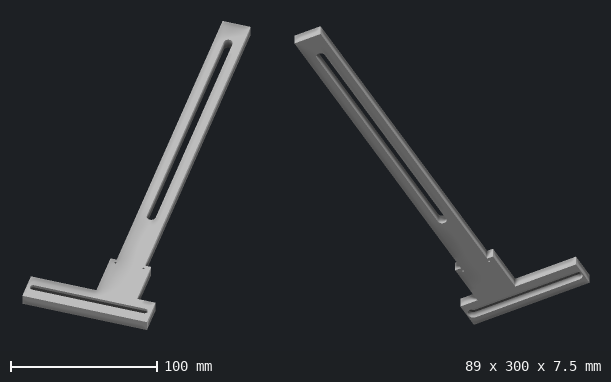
import cadquery as cq

thickness = 7.5
total_length = 300.0
bar_length = 89.0
bar_width = 20.0

stem_x = 16.8
neck_width = 29.0
shoulder_y = 53.0
arm_width = 20.0

bar_slot_length = 84.0
bar_slot_width = 4.5
bar_recess_width = 8.0
bar_slot_lip = 2.0
arm_slot_length = 186.0
arm_slot_width = 6.3
arm_slot_end_margin = 16.5

pin_hole_diameter = 1.5
pin_hole_setback = 3.0


def plate(width, length, center_x):
    """Rectangular plate starting at the front edge and running along +Y."""
    return (
        cq.Workplane("XY")
        .center(center_x, length / 2)
        .rect(width, length)
        .extrude(thickness)
    )


def slot_cutter(center_x, center_y, length, width, angle, height=thickness):
    """Round-ended slot rising from the underside; the angle is measured from +X."""
    return (
        cq.Workplane("XY")
        .center(center_x, center_y)
        .slot2D(length, width, angle)
        .extrude(height)
    )


crossbar = plate(bar_length, bar_width, 0)
neck = plate(neck_width, shoulder_y, stem_x)
arm = plate(arm_width, total_length, stem_x)
body = crossbar.union(neck).union(arm)

bar_slot = slot_cutter(0, bar_width / 2, bar_slot_length, bar_slot_width, 0)

bar_recess_length = bar_slot_length + bar_recess_width - bar_slot_width
bar_recess = slot_cutter(
    0, bar_width / 2, bar_recess_length, bar_recess_width, 0, thickness - bar_slot_lip
)

arm_slot_y = total_length - arm_slot_end_margin - arm_slot_length / 2
arm_slot = slot_cutter(stem_x, arm_slot_y, arm_slot_length, arm_slot_width, 90)

pin_holes = (
    cq.Workplane("XY")
    .pushPoints([(stem_x + side * arm_width / 2, shoulder_y - pin_hole_setback) for side in (-1, 1)])
    .circle(pin_hole_diameter / 2)
    .extrude(thickness)
)

result = body.cut(bar_slot).cut(bar_recess).cut(arm_slot).cut(pin_holes)